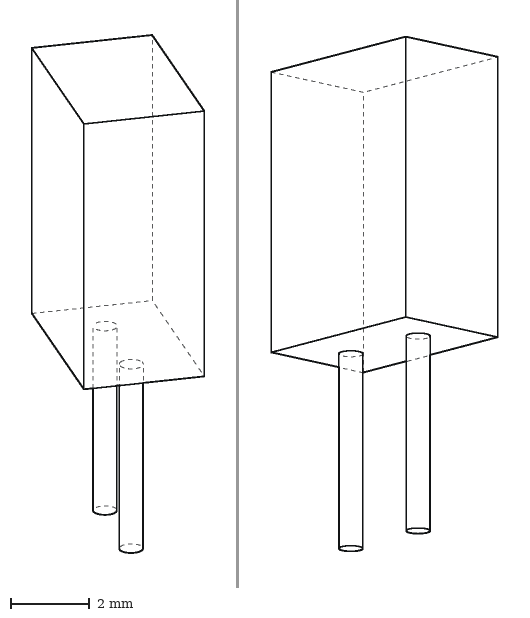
import cadquery as cq

width = 5.08
depth = 3.18
total_height = 12.46
body_height = 7.35

lead_diameter = 0.61
lead_spacing = 2.54
lead_length = total_height - body_height


def make_housing():
    """Plain rectangular block standing above the leads."""
    return cq.Workplane("XY").box(width, depth, body_height, centered=(True, True, False))


def make_lead(x):
    """Straight round wire hanging from the underside of the housing."""
    return cq.Workplane("XY").center(x, 0).circle(lead_diameter / 2).extrude(-lead_length)


housing = make_housing()
leads = [make_lead(side * lead_spacing / 2) for side in (-1, 1)]

result = cq.Compound.makeCompound([housing.val(), *[lead.val() for lead in leads]])